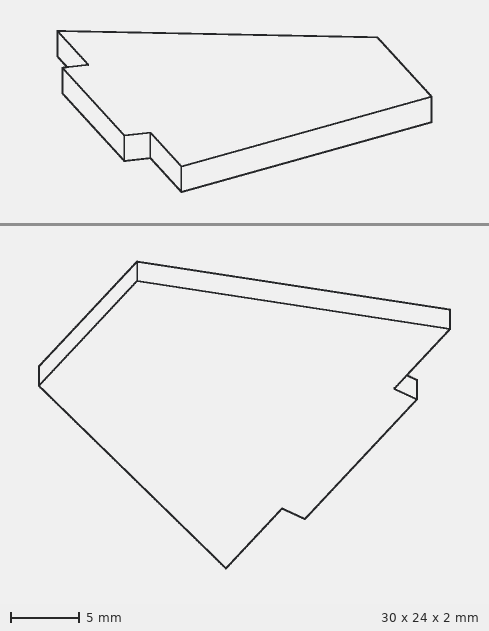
import cadquery as cq

base_width = 30.0
top_width = 13.15
total_depth = 24.0
thickness = 2.0
tab_width = base_width / 2
tab_depth = thickness

plate_depth = total_depth - tab_depth
plate_outline = [
    (-base_width / 2, 0),
    (base_width / 2, 0),
    (top_width / 2, plate_depth),
    (-top_width / 2, plate_depth),
]
plate = cq.Workplane("XY").polyline(plate_outline).close().extrude(thickness)

tab = cq.Workplane("XY").box(tab_width, tab_depth, thickness, centered=(True, False, False))
tab = tab.translate((0, -tab_depth, 0))

result = plate.union(tab).clean()